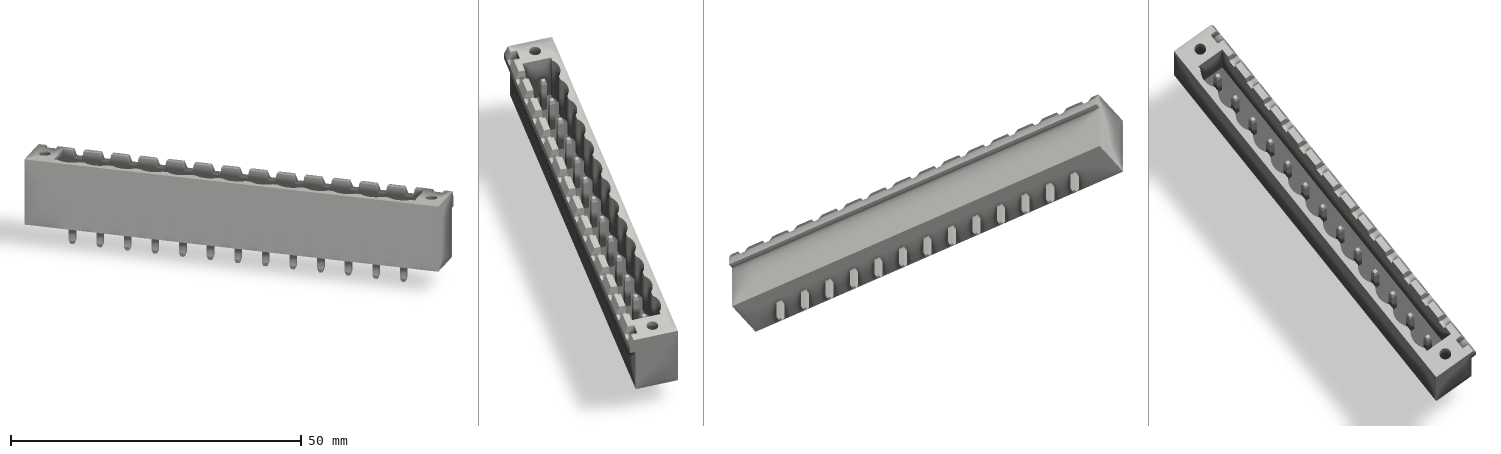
import cadquery as cq

length = 75.0
body_depth = 7.6
body_height = 12.0

total_depth = 8.6
lip_height = 2.9
lip_bevel_height = 1.5
rear_top_y = 7.95

pin_count = 13
row_length = 60.0
pin_pitch = row_length / (pin_count - 1)
row_y = 3.8
pin_width = 1.05
pin_length = 4.0
pin_tip_length = 0.7
pin_tip_width = 0.6
pin_top_z = 9.75

cavity_length = 65.4
cavity_front_y = 1.65
cavity_rear_y = 6.8
cavity_floor_z = 3.0
scallop_width = 4.05
scallop_depth = 0.75

notch_top_width = 2.0
notch_floor_width = 1.4
notch_depth = 1.5

screw_spacing = 70.05
screw_diameter = 2.0
screw_depth = 7.5

pin_xs = [(i - (pin_count - 1) / 2) * pin_pitch for i in range(pin_count)]
screw_xs = [-screw_spacing / 2, screw_spacing / 2]


def make_housing():
    """Extrude the side profile, including the bevelled lip, along X."""
    lip_z = body_height - lip_height
    profile = [
        (0, 0),
        (body_depth, 0),
        (body_depth, lip_z),
        (total_depth, lip_z),
        (total_depth, body_height - lip_bevel_height),
        (rear_top_y, body_height),
        (0, body_height),
    ]
    return cq.Workplane("YZ").polyline(profile).close().extrude(length / 2, both=True)


def make_cavity():
    """Open-topped pocket whose front wall bulges around each contact."""
    half_length = cavity_length / 2
    outline = (
        cq.Workplane("XY", origin=(0, 0, cavity_floor_z))
        .moveTo(half_length, cavity_rear_y)
        .lineTo(-half_length, cavity_rear_y)
        .lineTo(-half_length, cavity_front_y)
    )
    for x in pin_xs:
        outline = outline.lineTo(x - scallop_width / 2, cavity_front_y).threePointArc(
            (x, cavity_front_y - scallop_depth),
            (x + scallop_width / 2, cavity_front_y),
        )
    outline = outline.lineTo(half_length, cavity_front_y).close()
    return outline.extrude(body_height - cavity_floor_z)


def make_notch(x):
    """Tapered notch across the rear top edge, inward to the cavity rear line."""
    floor_z = body_height - notch_depth
    profile = [
        (x - notch_floor_width / 2, floor_z),
        (x + notch_floor_width / 2, floor_z),
        (x + notch_top_width / 2, body_height),
        (x - notch_top_width / 2, body_height),
    ]
    rear_plane = cq.Workplane("XZ", origin=(0, total_depth, 0))
    return rear_plane.polyline(profile).close().extrude(total_depth - cavity_rear_y)


def make_screw_hole(x):
    """Blind hole from the top of an end flange."""
    top_plane = cq.Workplane("XY", origin=(x, row_y, body_height))
    return top_plane.circle(screw_diameter / 2).extrude(-screw_depth)


def make_tip(x, base_z, direction):
    """Pyramid-shaped end of a pin, pointing up (+1) or down (-1)."""
    return (
        cq.Workplane("XY", origin=(x, row_y, base_z))
        .rect(pin_width, pin_width)
        .workplane(offset=direction * pin_tip_length)
        .rect(pin_tip_width, pin_tip_width)
        .loft()
    )


def make_pin(x):
    """Square pin through the housing floor, tapered at both ends."""
    shank_bottom_z = pin_tip_length - pin_length
    shank_top_z = pin_top_z - pin_tip_length
    shank = (
        cq.Workplane("XY", origin=(x, row_y, shank_bottom_z))
        .rect(pin_width, pin_width)
        .extrude(shank_top_z - shank_bottom_z)
    )
    return shank.union(make_tip(x, shank_top_z, 1)).union(make_tip(x, shank_bottom_z, -1))


result = make_housing().cut(make_cavity())
for notch_x in pin_xs + screw_xs:
    result = result.cut(make_notch(notch_x))
for screw_x in screw_xs:
    result = result.cut(make_screw_hole(screw_x))
for pin_x in pin_xs:
    result = result.union(make_pin(pin_x))